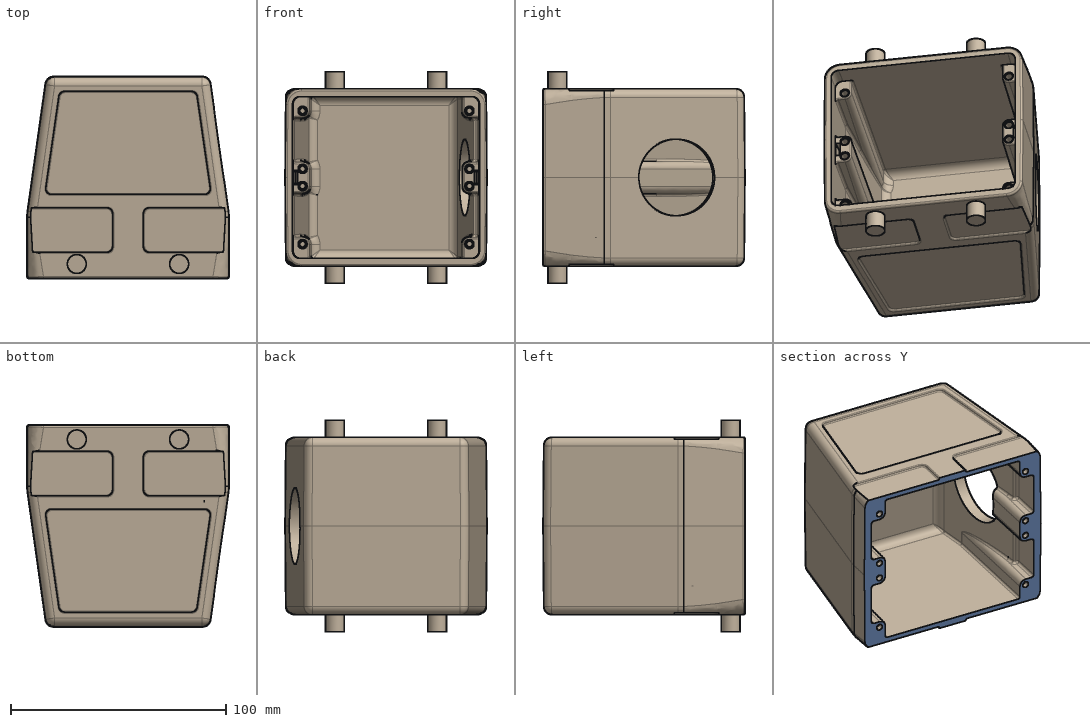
import cadquery as cq
import math

LENGTH = 94.0
HALF_WIDTH = 47.0
HALF_HEIGHT = 41.3
DRAFT = 0.5
STRAIGHT_LENGTH = 30.0
SIDE_SLOPE = 8.0
BEND_RADIUS = 20.0
EDGE_RADIUS = 4.0
MOUTH_CORNER_RADIUS = 7.5
MOUTH_EDGE_RADIUS = 1.0

BEND_REACH = BEND_RADIUS * math.tan(math.radians(SIDE_SLOPE / 2))
FRONT_LENGTH = STRAIGHT_LENGTH - BEND_REACH
DRAFT_INSET = HALF_HEIGHT * math.tan(math.radians(DRAFT))

MOUTH_HALF_WIDTH = 43.5
MOUTH_HALF_HEIGHT = 37.6
FLOOR_Y = 90.0
FLOOR_RADIUS = 4.0
CAVITY_CORNER_RADIUS = 3.5
CAVITY_BEND_Y = 31.0
CAVITY_BEND_HALF_WIDTH = 42.6
LEFT_FLOOR_X = -35.5
RIGHT_STEP_Y = 33.0
RIGHT_STEP_X = 40.6
RIGHT_STEP_RADIUS = 0.95

BOSS_FRONT_Y = 9.4
BOSS_DRAFT = 0.75
BOSS_CORNER_RADIUS = 3.0
BOSS_ROOT_RADIUS = 1.2
HEEL_RADIUS = 1.0
BOSS_RIM_RADIUS = 0.6
SCREW_X = 38.8
SCREW_Z_MIDDLE = 4.0
SCREW_Z_CORNER = 31.0
SCREW_CORE_DIAMETER = 2.74
SCREW_MOUTH_DIAMETER = 3.5
SCREW_SINK_DIAMETER = 4.2
SCREW_SINK_DEPTH = (SCREW_SINK_DIAMETER - SCREW_MOUTH_DIAMETER) / 2
SCREW_MOUTH_DEPTH = 9.0
SCREW_DEPTH = 12.0
FLANK_LOW = SCREW_Z_MIDDLE + BOSS_CORNER_RADIUS
FLANK_HIGH = SCREW_Z_CORNER - BOSS_CORNER_RADIUS
BOSS_FLANKS = (-FLANK_HIGH, -FLANK_LOW, FLANK_LOW, FLANK_HIGH)
NOTCH_X = 41.0
NOTCH_WIDTH = 6.8
NOTCH_DEPTH = 5.0
NOTCH_DRAFT = 10.0

ENTRY_DIAMETER = 35.6
ENTRY_Y = 61.4
ENTRY_REACH = 12.0

PIN_DIAMETER = 8.8
PIN_X = 23.8
PIN_Y = 6.75
PIN_TIP_Z = 49.25
PIN_ROOT_Z = 39.0

RECESS_DEPTH = 1.0
RECESS_EDGE_RADIUS = 0.48
RECESS_CORNER_RADIUS = 3.2
LABEL_FRONT_Y = 38.65
LABEL_BACK_Y = 87.5
LABEL_BACK_HALF_WIDTH = 32.3
GRIP_FRONT_Y = 11.75
GRIP_BACK_Y = 33.4
GRIP_INNER_X = 6.7

BIG = 200.0


def slope_offset(length):
    """Sideways shift of a sloping side over a length along Y."""
    return length * math.tan(math.radians(SIDE_SLOPE))


def mouth_section(y, corner_radius):
    """Rounded section of the straight part, with its sides drafted from the parting plane."""
    top_half_width = HALF_WIDTH - DRAFT_INSET
    corners = [
        cq.Vector(-top_half_width, y, HALF_HEIGHT),
        cq.Vector(top_half_width, y, HALF_HEIGHT),
        cq.Vector(HALF_WIDTH, y, 0),
        cq.Vector(top_half_width, y, -HALF_HEIGHT),
        cq.Vector(-top_half_width, y, -HALF_HEIGHT),
        cq.Vector(-HALF_WIDTH, y, 0),
    ]
    outline = cq.Wire.makePolygon(corners, close=True)
    rounded = [v for v in outline.Vertices() if abs(v.Z) > HALF_HEIGHT / 2]
    return outline.fillet2D(corner_radius, rounded)


def mouth_block():
    """Straight front part, its corners opening out towards the mouth."""
    growth = MOUTH_CORNER_RADIUS - EDGE_RADIUS
    sections = []
    for fraction in (1.0, 0.5, 0.0):
        radius = EDGE_RADIUS + growth * fraction ** 1.5
        sections.append(mouth_section(FRONT_LENGTH * (1 - fraction), radius))
    block = cq.Workplane(obj=cq.Solid.makeLoft(sections))
    return block.faces("<Y").edges().fillet(MOUTH_EDGE_RADIUS)


def sloping_block():
    """Rear part with sloping sides, drafted both ways from the parting plane."""
    back_half_width = HALF_WIDTH - slope_offset(LENGTH - STRAIGHT_LENGTH)
    plan = [
        (-HALF_WIDTH, -STRAIGHT_LENGTH),
        (-HALF_WIDTH, STRAIGHT_LENGTH),
        (-back_half_width, LENGTH),
        (back_half_width, LENGTH),
        (HALF_WIDTH, STRAIGHT_LENGTH),
        (HALF_WIDTH, -STRAIGHT_LENGTH),
    ]
    upper = cq.Workplane("XY").polyline(plan).close().extrude(HALF_HEIGHT, taper=DRAFT)
    bends = cq.selectors.BoxSelector(
        (-BIG, STRAIGHT_LENGTH - 1, 0), (BIG, STRAIGHT_LENGTH + 1, HALF_HEIGHT - 1)
    )
    upper = upper.edges(bends).fillet(BEND_RADIUS)
    back_corners = cq.selectors.BoxSelector((-BIG, LENGTH - 2, 1), (BIG, LENGTH + 1, HALF_HEIGHT - 1))
    keep = cq.Workplane("XY").box(BIG, BIG, BIG, centered=(True, False, True))
    upper = upper.intersect(keep.translate((0, FRONT_LENGTH, 0)))
    upper = upper.edges(
        cq.selectors.SumSelector(back_corners, cq.selectors.SubtractSelector(
            cq.DirectionMinMaxSelector(cq.Vector(0, 0, 1), True),
            cq.DirectionMinMaxSelector(cq.Vector(0, 1, 0), False)))
    ).fillet(EDGE_RADIUS)
    return upper.union(upper.mirror("XY"))


def boss_bar(z_low, z_high, side):
    """Drafted bar reaching from the side wall to around the screws."""
    inner_x = SCREW_X - BOSS_CORNER_RADIUS
    outer_x = HALF_WIDTH + BOSS_CORNER_RADIUS
    bar = (
        cq.Workplane("XZ", origin=(side * (inner_x + outer_x) / 2, BOSS_FRONT_Y, (z_low + z_high) / 2))
        .sketch()
        .rect(outer_x - inner_x, z_high - z_low)
        .vertices()
        .fillet(BOSS_CORNER_RADIUS)
        .finalize()
        .extrude(BOSS_FRONT_Y - LENGTH, taper=-BOSS_DRAFT)
    )
    return bar


def bosses():
    """Middle and corner bars on both sides."""
    middle_half = SCREW_Z_MIDDLE + BOSS_CORNER_RADIUS
    corner_low = SCREW_Z_CORNER - BOSS_CORNER_RADIUS
    corner_high = HALF_HEIGHT + BOSS_CORNER_RADIUS
    bars = cq.Workplane("XY")
    for side in (-1, 1):
        bars = bars.union(boss_bar(-middle_half, middle_half, side))
        bars = bars.union(boss_bar(corner_low, corner_high, side))
        bars = bars.union(boss_bar(-corner_high, -corner_low, side))
    return bars


def boss_root_edges(side):
    """Selector of the inner corners where the boss flanks meet one side wall."""
    reach = BOSS_CORNER_RADIUS / 2
    roots = None
    for flank in BOSS_FLANKS:
        for inner_x, front_y in ((SCREW_X, BOSS_FRONT_Y + 1), (SCREW_X - BOSS_CORNER_RADIUS, FLOOR_Y / 2 + 5)):
            ends_x = sorted((side * (inner_x + 0.3), side * HALF_WIDTH))
            box = cq.selectors.BoxSelector(
                (ends_x[0], front_y, flank - reach), (ends_x[1], FLOOR_Y - 1, flank + reach))
            roots = box if roots is None else roots + box
    return roots


def heel_edges():
    """Selector of the corners along the top and bottom walls beside the bosses and the right wall."""
    heels = None
    for z in (-MOUTH_HALF_HEIGHT, MOUTH_HALF_HEIGHT):
        for low_x, high_x in ((-SCREW_X, LEFT_FLOOR_X + 1), (-LEFT_FLOOR_X - 3, SCREW_X)):
            box = cq.selectors.BoxSelector(
                (low_x, BOSS_FRONT_Y + 1, z - 0.1), (high_x, FLOOR_Y - FLOOR_RADIUS, z + 0.1))
            heels = box if heels is None else heels + box
    return heels


def boss_rim_edges():
    """Selector of the boss front edges that face the open middle of the cavity."""
    rim = None
    for side in (-1, 1):
        face_x = side * (SCREW_X - BOSS_CORNER_RADIUS)
        box = cq.selectors.BoxSelector(
            (face_x - 0.1, BOSS_FRONT_Y - 0.1, -SCREW_Z_CORNER - BOSS_CORNER_RADIUS - 1),
            (face_x + 0.1, BOSS_FRONT_Y + 0.1, SCREW_Z_CORNER + BOSS_CORNER_RADIUS + 1))
        rim = box if rim is None else rim + box
    return rim


def cavity():
    """Hollow of the hood; the right wall is stepped in around the cable entry."""
    right_floor_x = RIGHT_STEP_X - slope_offset(FLOOR_Y - RIGHT_STEP_Y)
    plan = [
        (-MOUTH_HALF_WIDTH, 0),
        (-CAVITY_BEND_HALF_WIDTH, CAVITY_BEND_Y),
        (LEFT_FLOOR_X, FLOOR_Y),
        (right_floor_x, FLOOR_Y),
        (RIGHT_STEP_X, RIGHT_STEP_Y),
        (CAVITY_BEND_HALF_WIDTH, RIGHT_STEP_Y),
        (MOUTH_HALF_WIDTH, 0),
    ]
    hollow = (
        cq.Workplane("XY", origin=(0, 0, -MOUTH_HALF_HEIGHT))
        .polyline(plan).close().extrude(2 * MOUTH_HALF_HEIGHT)
    )
    step = cq.selectors.BoxSelector(
        (RIGHT_STEP_X - 1, RIGHT_STEP_Y - 1, -1), (HALF_WIDTH, RIGHT_STEP_Y + 1, 1)
    )
    hollow = hollow.edges(step).fillet(RIGHT_STEP_RADIUS)
    mouth_zone = cq.Workplane("XY").box(BIG, 2 * BOSS_FRONT_Y, BIG)
    lengthwise = cq.selectors.BoxSelector((-BIG, 1, -BIG), (BIG, BOSS_FRONT_Y - 1, BIG))
    front = hollow.intersect(mouth_zone).edges(lengthwise).fillet(CAVITY_CORNER_RADIUS)
    rear = hollow.cut(mouth_zone).cut(bosses())
    rear = rear.faces(">Y").edges().fillet(FLOOR_RADIUS)
    rear = rear.edges(heel_edges()).fillet(HEEL_RADIUS)
    for side in (-1, 1):
        rear = rear.edges(boss_root_edges(side)).fillet(BOSS_ROOT_RADIUS)
    hollow = rear.union(front)
    return hollow.edges(boss_rim_edges()).fillet(BOSS_RIM_RADIUS)


def screw_hole(x, z):
    """Countersunk blind hole in a boss face, narrowing to the core diameter."""
    sink_radius = SCREW_SINK_DIAMETER / 2
    mouth_radius = SCREW_MOUTH_DIAMETER / 2
    core_radius = SCREW_CORE_DIAMETER / 2
    profile = [
        (0, 0),
        (sink_radius, 0),
        (mouth_radius, SCREW_SINK_DEPTH),
        (mouth_radius, SCREW_MOUTH_DEPTH),
        (core_radius, SCREW_MOUTH_DEPTH),
        (core_radius, SCREW_DEPTH),
        (0, SCREW_DEPTH),
    ]
    hole = cq.Workplane("XY").polyline(profile).close().revolve(360, (0, 0), (0, 1))
    return hole.translate((x, BOSS_FRONT_Y, z))


def screw_holes():
    """All eight screw holes."""
    holes = cq.Workplane("XY")
    for x in (-SCREW_X, SCREW_X):
        for z in (-SCREW_Z_CORNER, -SCREW_Z_MIDDLE, SCREW_Z_MIDDLE, SCREW_Z_CORNER):
            holes = holes.union(screw_hole(x, z))
    return holes


def notches():
    """Slots behind the screws of the middle bosses, along the side walls."""
    length = MOUTH_HALF_WIDTH - DRAFT_INSET - NOTCH_X
    slots = cq.Workplane("XY")
    for side in (-1, 1):
        slot = (
            cq.Workplane("XZ", origin=(side * (NOTCH_X + length / 2), BOSS_FRONT_Y, 0))
            .rect(length, NOTCH_WIDTH)
            .extrude(-NOTCH_DEPTH, taper=NOTCH_DRAFT)
        )
        slots = slots.union(slot)
    return slots


def cable_entry():
    """Round opening square to the right sloping wall."""
    inner_x = RIGHT_STEP_X - slope_offset(ENTRY_Y - RIGHT_STEP_Y)
    slope = math.radians(SIDE_SLOPE)
    outward = cq.Vector(math.cos(slope), math.sin(slope), 0)
    start = cq.Vector(inner_x, ENTRY_Y, 0) - outward * ENTRY_REACH
    return cq.Solid.makeCylinder(ENTRY_DIAMETER / 2, 2 * ENTRY_REACH, start, outward)


def pins():
    """Two locking pins above and two below."""
    posts = cq.Workplane("XY", origin=(0, PIN_Y, PIN_ROOT_Z))
    posts = posts.pushPoints([(-PIN_X, 0), (PIN_X, 0)]).circle(PIN_DIAMETER / 2).extrude(PIN_TIP_Z - PIN_ROOT_Z)
    return posts.union(posts.mirror("XY"))


def recess_cutter(outline):
    """Shallow pocket tool from an XY outline, rounding both the floor edge and the rim."""
    bottom_z = HALF_HEIGHT - RECESS_DEPTH
    pocket = cq.Workplane("XY", origin=(0, 0, bottom_z)).polyline(outline).close().extrude(RECESS_DEPTH)
    pocket = pocket.edges("|Z").fillet(RECESS_CORNER_RADIUS - RECESS_EDGE_RADIUS)
    pocket = pocket.faces("<Z").edges().fillet(RECESS_EDGE_RADIUS)
    slab = cq.Workplane("XY").box(2 * BIG, 2 * BIG, 2 * RECESS_DEPTH).translate((0, 0, HALF_HEIGHT - RECESS_DEPTH))
    near_pocket = cq.selectors.BoxSelector(
        (-BIG / 2, -BIG / 2, HALF_HEIGHT - 0.1), (BIG / 2, BIG / 2, HALF_HEIGHT + 0.1))
    rounded = slab.cut(pocket).edges(near_pocket).fillet(RECESS_EDGE_RADIUS)
    return slab.cut(rounded)


def recesses():
    """Label panel and two grip panels on the top face, walls inset by the rim rounding."""
    inset = RECESS_EDGE_RADIUS
    front_half_width = LABEL_BACK_HALF_WIDTH + slope_offset(LABEL_BACK_Y - LABEL_FRONT_Y)
    label = [
        (inset - front_half_width, LABEL_FRONT_Y + inset),
        (inset - LABEL_BACK_HALF_WIDTH, LABEL_BACK_Y - inset),
        (LABEL_BACK_HALF_WIDTH - inset, LABEL_BACK_Y - inset),
        (front_half_width - inset, LABEL_FRONT_Y + inset),
    ]
    tools = recess_cutter(label)
    for side in (-1, 1):
        inner_x = side * (GRIP_INNER_X + inset)
        outer_x = side * (HALF_WIDTH + 2 * RECESS_CORNER_RADIUS)
        grip = [
            (inner_x, GRIP_FRONT_Y + inset),
            (inner_x, GRIP_BACK_Y - inset),
            (outer_x, GRIP_BACK_Y - inset),
            (outer_x, GRIP_FRONT_Y + inset),
        ]
        tools = tools.union(recess_cutter(grip))
    return tools


top_recesses = recesses()
result = mouth_block().union(sloping_block())
result = result.cut(top_recesses).cut(top_recesses.mirror("XY"))
result = result.cut(cavity()).cut(screw_holes()).cut(notches())
result = result.cut(cq.Workplane(obj=cable_entry()))
result = result.union(pins())